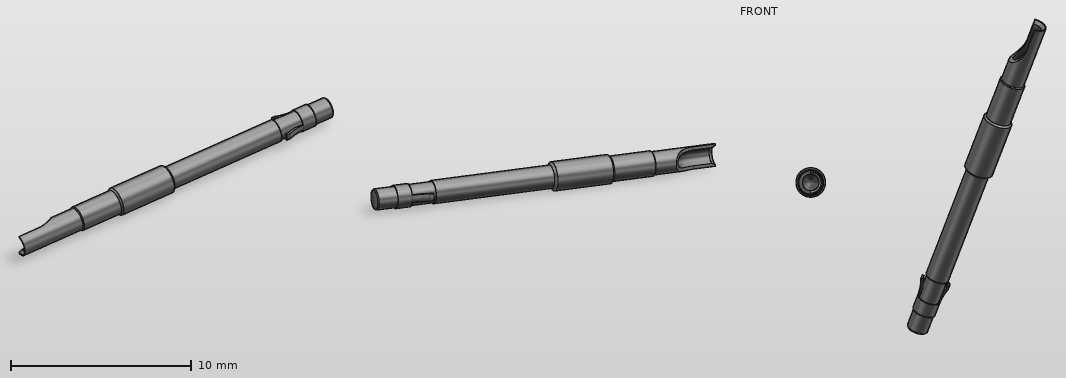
import cadquery as cq
import math

length = 20.26

shaft_diameter = 1.32
tip_diameter = 1.2
neck_diameter = tip_diameter
shoulder_diameter = 1.65
rear_collar_diameter = 1.44
cup_bore_diameter = 0.92

rear_collar_start = 3.78
shoulder_start = 6.26
shoulder_end = 9.8
neck_start = 16.82
neck_end = 18.23
tip_start = 19.08

shoulder_chamfer_length = 0.13
rear_collar_chamfer = 0.06
tip_chamfer = 0.07
tip_chamfer_depth = 0.05

cup_bore_depth = rear_collar_start
drill_point_angle = 118.0
mouth_chamfer_length = 0.22
mouth_chamfer_depth = 0.13
cup_flat_length = 1.28
cup_scoop_length = 1.3

tine_width = 0.42
tine_thickness = 0.12
tine_bend_length = 0.98
tine_tip_length = 0.21


def revolve_about_y(profile):
    """Turn a closed profile (X = radius, Y = station) once around the Y axis."""
    return profile.close().revolve(360, (0, 0, 0), (0, 1, 0))


def turned_body():
    """Solid pin with its stepped diameters and shoulder chamfers."""
    shaft_radius = shaft_diameter / 2
    neck_radius = neck_diameter / 2
    tip_radius = tip_diameter / 2
    shoulder_radius = shoulder_diameter / 2
    collar_radius = rear_collar_diameter / 2
    collar_step = shoulder_radius - collar_radius
    profile = (
        cq.Workplane("XY")
        .moveTo(0, 0)
        .lineTo(shaft_radius, 0)
        .lineTo(shaft_radius, rear_collar_start)
        .lineTo(collar_radius, rear_collar_start + rear_collar_chamfer)
        .lineTo(collar_radius, shoulder_start)
        .lineTo(shoulder_radius, shoulder_start + collar_step)
        .lineTo(shoulder_radius, shoulder_end - shoulder_chamfer_length)
        .lineTo(shaft_radius, shoulder_end)
        .lineTo(shaft_radius, neck_start)
        .lineTo(neck_radius, neck_start)
        .lineTo(neck_radius, neck_end)
        .lineTo(shaft_radius, neck_end)
        .lineTo(shaft_radius, tip_start)
        .lineTo(tip_radius, tip_start)
        .lineTo(tip_radius, length - tip_chamfer)
        .lineTo(tip_radius - tip_chamfer_depth, length)
        .lineTo(0, length)
    )
    return revolve_about_y(profile)


def cup_bore():
    """Blind drilled hole of the solder cup with a flared mouth and a conical bottom."""
    bore_radius = cup_bore_diameter / 2
    cone_height = bore_radius / math.tan(math.radians(drill_point_angle / 2))
    profile = (
        cq.Workplane("XY")
        .moveTo(0, 0)
        .lineTo(bore_radius + mouth_chamfer_depth, 0)
        .lineTo(bore_radius, mouth_chamfer_length)
        .lineTo(bore_radius, cup_bore_depth)
        .lineTo(0, cup_bore_depth + cone_height)
    )
    return revolve_about_y(profile)


def cup_opening():
    """Cutter removing the -X half of the cup, run out by an arc tangent to the flat."""
    depth = shaft_diameter / 2
    arc_radius = (depth**2 + cup_scoop_length**2) / (2 * depth)
    half_sweep = math.asin(cup_scoop_length / arc_radius) / 2
    arc_middle = (
        -arc_radius * (1 - math.cos(half_sweep)),
        cup_flat_length + arc_radius * math.sin(half_sweep),
    )
    return (
        cq.Workplane("XY")
        .moveTo(0, 0)
        .lineTo(0, cup_flat_length)
        .threePointArc(arc_middle, (-depth, cup_flat_length + cup_scoop_length))
        .lineTo(-shoulder_diameter, cup_flat_length + cup_scoop_length)
        .lineTo(-shoulder_diameter, 0)
        .close()
        .extrude(shaft_diameter, both=True)
    )


def spring_tines():
    """Both tines: a ring flaring away from the neck edge, kept only in a strip along X."""
    root_radius = shaft_diameter / 2
    end_radius = shoulder_diameter / 2
    flare = end_radius - root_radius
    bend_radius = (flare**2 + tine_bend_length**2) / (2 * flare)
    half_sweep = math.asin(tine_bend_length / bend_radius) / 2
    middle_radius = root_radius + bend_radius * (1 - math.cos(half_sweep))
    middle_station = neck_end - bend_radius * math.sin(half_sweep)
    bend_end = neck_end - tine_bend_length
    tine_end = bend_end - tine_tip_length
    profile = (
        cq.Workplane("XY")
        .moveTo(root_radius, neck_end)
        .threePointArc((middle_radius, middle_station), (end_radius, bend_end))
        .lineTo(end_radius, tine_end)
        .lineTo(end_radius - tine_thickness, tine_end)
        .lineTo(end_radius - tine_thickness, bend_end)
        .threePointArc(
            (middle_radius - tine_thickness, middle_station),
            (root_radius - tine_thickness, neck_end),
        )
    )
    strip = (
        cq.Workplane("XY")
        .box(2 * shoulder_diameter, neck_end - tine_end, tine_width)
        .translate((0, (neck_end + tine_end) / 2, 0))
    )
    return revolve_about_y(profile).intersect(strip)


result = turned_body().cut(cup_bore()).cut(cup_opening()).union(spring_tines())